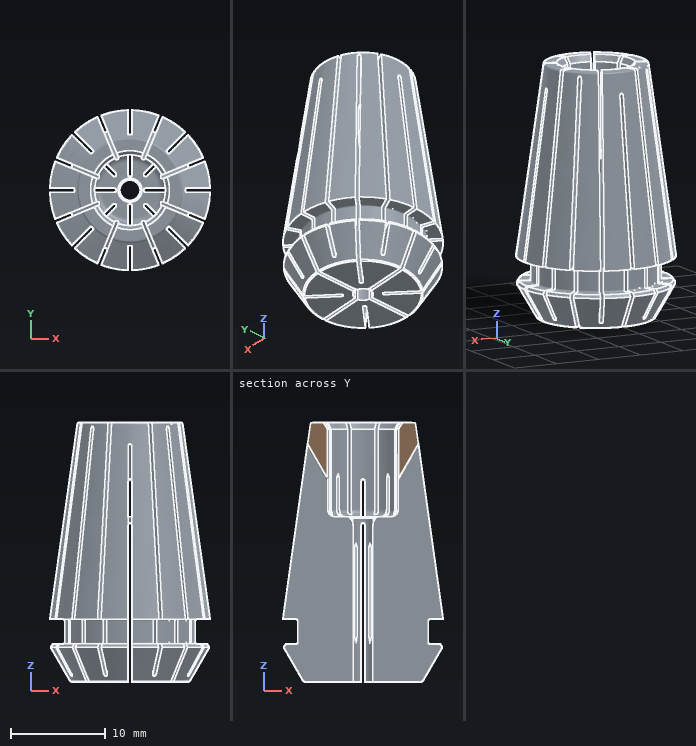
import cadquery as cq
import math

length = 27.5
taper_angle = 8.0
taper_large_radius = 8.5
rear_edge_round = 0.25

nose_height = 4.05
nose_angle = 30.0
nose_radius = 8.42
nose_edge_height = 0.35
nose_edge_width = 0.25
front_edge_bevel = 0.1
groove_top = 6.65
groove_radius = 6.93
groove_corner_round = 0.16

rear_bore_radius = 3.75
rear_bevel_width = 0.45
rear_bevel_depth = 0.72
bore_floor = 17.52
bore_floor_round = 0.77
grip_radius = 1.07
grip_bevel = 0.2

slot_width = 0.4
slot_step = 45.0
slot_reach = 2 * length

front_ramp = (5.9, 25.25, 60.0)
diagonal_ramp = (5.65, 27.12, 70.0)
diagonal_foot_ramp = (2.12, 0.0, 103.5)
rear_ramp = (6.65, 0.63, 100.4)


def tangent(angle):
    return math.tan(math.radians(angle))


def revolve_outline(points):
    """Turn (radius, height) points around the Z axis."""
    return cq.Workplane("XZ").polyline(points).close().revolve(360, (0, 0), (0, 1))


def make_body():
    rear_radius = taper_large_radius - (length - groove_top) * tangent(taper_angle)
    cone_top = nose_height - nose_edge_height
    front_radius = nose_radius - cone_top * tangent(nose_angle)
    body = revolve_outline([
        (0, 0),
        (front_radius, 0),
        (nose_radius, cone_top),
        (nose_radius - nose_edge_width, nose_height),
        (groove_radius, nose_height),
        (groove_radius, groove_top),
        (taper_large_radius, groove_top),
        (rear_radius, length),
        (0, length),
    ])
    groove_corners = body.edges("%CIRCLE").filter(
        lambda edge: math.isclose(edge.radius(), groove_radius)
    )
    body = groove_corners.fillet(groove_corner_round)
    body = body.faces(">Z").edges().fillet(rear_edge_round)
    return body.faces("<Z").edges().chamfer(front_edge_bevel)


def make_rear_bore():
    bore = cq.Workplane("XY", origin=(0, 0, bore_floor)).circle(rear_bore_radius)
    bore = bore.extrude(length - bore_floor)
    bore = bore.faces("<Z").edges().fillet(bore_floor_round)
    mouth = revolve_outline([
        (0, length),
        (rear_bore_radius + rear_bevel_width, length),
        (rear_bore_radius, length - rear_bevel_depth),
        (0, length - rear_bevel_depth),
    ])
    return bore.union(mouth)


def make_grip_bore():
    return revolve_outline([
        (0, 0),
        (grip_radius, 0),
        (grip_radius, bore_floor - grip_bevel),
        (grip_radius + grip_bevel, bore_floor),
        (0, bore_floor),
    ])


def slot_cutter(ramp):
    """Slot along +X, open on the outward side of its ramp."""
    radius, height, angle = ramp
    along = (math.cos(math.radians(angle)), 0, math.sin(math.radians(angle)))
    outward = (along[2], 0, -along[0])
    half = slot_width / 2
    section = (
        cq.Workplane(cq.Plane(origin=(radius, 0, height), xDir=outward, normal=along))
        .moveTo(half, -half)
        .lineTo(slot_reach, -half)
        .lineTo(slot_reach, half)
        .lineTo(half, half)
        .threePointArc((0, 0), (half, -half))
        .close()
    )
    return section.extrude(slot_reach, both=True)


def cut_slots(body, cutter, first_angle, step):
    """Cut copies of a slot all the way around the Z axis."""
    for index in range(round(360 / step)):
        body = body.cut(cutter.rotate((0, 0, 0), (0, 0, 1), first_angle + index * step))
    return body


result = make_body().cut(make_rear_bore()).cut(make_grip_bore())

result = cut_slots(result, slot_cutter(front_ramp), 0, 2 * slot_step)

diagonal_cutter = slot_cutter(diagonal_ramp).intersect(slot_cutter(diagonal_foot_ramp))
result = cut_slots(result, diagonal_cutter, slot_step, 2 * slot_step)

result = cut_slots(result, slot_cutter(rear_ramp), slot_step / 2, slot_step)